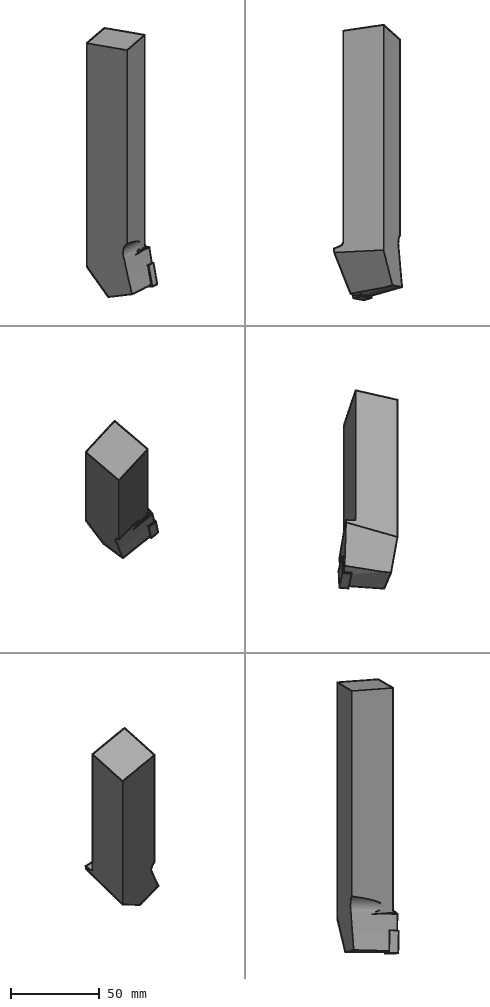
import cadquery as cq

shank_width = 25.0
shank_depth = 24.5
tool_length = 154.4

tilt_x = 0.137
tilt_z = -0.071
rake_offset = 28.3
front_reach = 18.5

heel = (0.0, 17.9)
toe = (13.3, 1.7)
nose = (27.8, 6.0)
flank_crease = (25.3, 16.0)
notch_start = (22.8, 27.2)
notch_middle = (22.2, 30.4)
notch_end = (24.5, 36.0)
margin = 46.3

head_width = 37.0
head_depth = 34.0
back_ledge_z = 24.9
back_ledge_slope = 0.27
side_ledge_z = 25.6
side_ledge_slope = 0.8
foot_z = 1.2
ledge_fillet = 5.1 / 2

insert_side = 12.7
insert_thickness = 5.2
insert_proud = 0.8
insert_angle = 14.0
insert_corner = (28.7, 5.1)


def tilted_plane(offset):
    """Plane square to the head axis, offset from the origin toward the rake face."""
    plane = cq.Plane((0, 0, 0), xDir=(1, -tilt_x, 0), normal=(-tilt_x, -1, -tilt_z))
    return cq.Workplane(plane).workplane(offset=-offset)


def make_envelope():
    """Shank with a wider foot, before the head faces are cut."""
    shank = cq.Workplane("XY").box(shank_width, shank_depth, tool_length, centered=False)
    back_end_z = back_ledge_z - back_ledge_slope * (head_depth - shank_depth)
    back_foot = (
        cq.Workplane("YZ")
        .polyline([(0, 0), (head_depth, 0), (head_depth, back_end_z),
                   (shank_depth, back_ledge_z), (0, back_ledge_z)])
        .close()
        .extrude(head_width)
    )
    side_end_z = side_ledge_z - side_ledge_slope * (head_width - shank_width)
    side_limit = (
        cq.Workplane("XZ")
        .polyline([(0, foot_z), (head_width, foot_z), (head_width, side_end_z), (shank_width, side_ledge_z),
                   (shank_width, tool_length), (0, tool_length)])
        .close()
        .extrude(-head_depth)
    )
    ledge_corner = cq.selectors.NearestToPointSelector((shank_width / 2, shank_depth, back_ledge_z))
    return shank.union(back_foot).intersect(side_limit).edges(ledge_corner).fillet(ledge_fillet)


def make_head_prism():
    """Prism bounded by the heel, end and flank faces, the notch and the rake face."""
    heel_slope = (heel[1] - toe[1]) / (toe[0] - heel[0])
    top = tool_length + margin
    return (
        tilted_plane(-front_reach)
        .moveTo(-margin, heel[1] + heel_slope * margin)
        .lineTo(*toe)
        .lineTo(*nose)
        .lineTo(*flank_crease)
        .lineTo(*notch_start)
        .threePointArc(notch_middle, notch_end)
        .lineTo(notch_end[0] + margin, notch_end[1] + margin)
        .lineTo(notch_end[0] + margin, top)
        .lineTo(-margin, top)
        .close()
        .extrude(-(front_reach + rake_offset))
    )


def make_insert():
    """Square insert, standing slightly proud of the rake face and of the nose."""
    return (
        tilted_plane(rake_offset + insert_proud)
        .center(*insert_corner)
        .transformed(rotate=(0, 0, insert_angle))
        .rect(-insert_side, insert_side, centered=False)
        .extrude(insert_thickness)
    )


insert = make_insert()
holder = make_envelope().intersect(make_head_prism()).cut(insert)

result = cq.Compound.makeCompound([holder.val(), insert.val()])